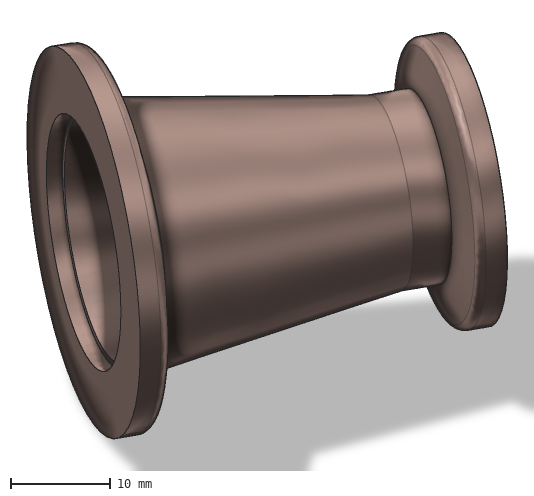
import cadquery as cq
import math

length = 40.0
clamp_angle = 15.0
rim_fillet = 1.0

large_flange_radius = 20.0
large_flange_thickness = 4.5
large_root_radius = 14.15
seat_radius = 13.15
seat_depth = 1.7

small_flange_radius = 15.0
small_flange_thickness = 4.35
neck_radius = 10.0
neck_length = 4.05

large_bore_radius = 12.5
small_bore_radius = 7.9

clamp_slope = math.tan(math.radians(clamp_angle))
large_rim_end = large_flange_thickness - clamp_slope * (large_flange_radius - large_root_radius)
small_flange_start = length - small_flange_thickness
small_rim_start = small_flange_start + clamp_slope * (small_flange_radius - neck_radius)
neck_start = small_flange_start - neck_length


def turned(outline):
    """Revolve a closed outline of (Y, radius) points about the Y axis."""
    profile = cq.Workplane("YZ").polyline(outline).close()
    return profile.revolve(360, (0, 0, 0), (1, 0, 0))


def round_rim(body, radius, station):
    """Fillet the circular edge of the given radius at the given Y."""
    margin = 0.01
    reach = radius + margin
    rim_edge = cq.selectors.BoxSelector(
        (-reach, station - margin, -reach),
        (reach, station + margin, reach),
        boundingbox=True,
    )
    return body.edges(rim_edge).fillet(rim_fillet)


def outer_body():
    """Two rimmed flanges joined by a cone and a short straight neck."""
    body = turned([
        (0, 0),
        (0, large_flange_radius),
        (large_rim_end, large_flange_radius),
        (large_flange_thickness, large_root_radius),
        (neck_start, neck_radius),
        (small_flange_start, neck_radius),
        (small_rim_start, small_flange_radius),
        (length, small_flange_radius),
        (length, 0),
    ])
    body = round_rim(body, large_flange_radius, large_rim_end)
    return round_rim(body, small_flange_radius, small_rim_start)


def bore():
    """Through passage: shallow seat, tapering cone, straight neck bore."""
    return turned([
        (0, 0),
        (0, seat_radius),
        (seat_depth, seat_radius),
        (seat_depth, large_bore_radius),
        (neck_start, small_bore_radius),
        (length, small_bore_radius),
        (length, 0),
    ])


result = outer_body().cut(bore())